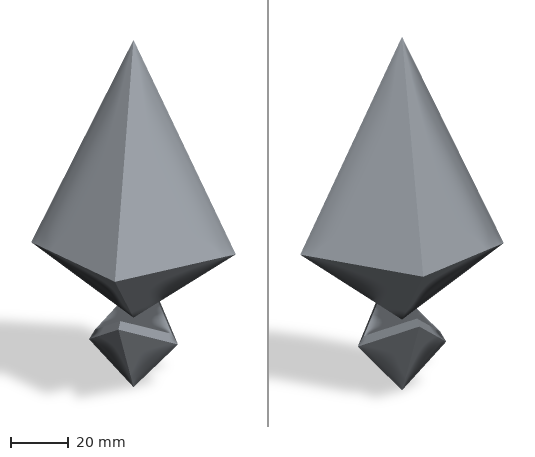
import cadquery as cq

BASE_WIDTH = 50.8
BASE_HEIGHT = 50.8
UPPER_TIP = 127.0
LOWER_TIP = 25.4

OUTER_SLOPE = 1.5
RIM_LOW = 11.0
RIM_HIGH = 20.7
VALLEY_REACH = 9.5
VALLEY_HEIGHT = 20.3

INNER_SCALE = VALLEY_REACH / RIM_LOW
CREST_REACH = INNER_SCALE * RIM_HIGH
CREST_HEIGHT = VALLEY_HEIGHT + INNER_SCALE * OUTER_SLOPE * (RIM_HIGH - RIM_LOW)


def solid_from_faces(faces):
    """Closed solid bounded by flat faces, each given as a list of corners."""
    flats = [cq.Face.makeFromWires(cq.Wire.makePolygon([cq.Vector(*p) for p in face], close=True))
             for face in faces]
    return cq.Solid.makeSolid(cq.Shell.makeShell(flats))


def pyramid(tip_height):
    """Square pyramid from the shared base to a tip on the Z axis."""
    half = BASE_WIDTH / 2
    base = [(x, y, BASE_HEIGHT) for x, y in ((-half, -half), (half, -half), (half, half), (-half, half))]
    tip = (0, 0, tip_height)
    sides = [[base[i], base[(i + 1) % len(base)], tip] for i in range(len(base))]
    return solid_from_faces([base] + sides)


def wing(side):
    """Half of the cup; side = 1 points toward +X -Y, side = -1 toward -X +Y."""
    point = (0, 0, 0)
    rim_front = (-RIM_LOW, -RIM_LOW, OUTER_SLOPE * RIM_LOW)
    rim_back = (RIM_LOW, RIM_LOW, OUTER_SLOPE * RIM_LOW)
    rim_tip = (side * RIM_HIGH, -side * RIM_HIGH, OUTER_SLOPE * RIM_HIGH)
    valley_front = (-VALLEY_REACH, -VALLEY_REACH, VALLEY_HEIGHT)
    valley_back = (VALLEY_REACH, VALLEY_REACH, VALLEY_HEIGHT)
    crest = (side * CREST_REACH, -side * CREST_REACH, CREST_HEIGHT)

    meeting_face = [point, rim_front, valley_front, valley_back, rim_back]
    inner_face = [valley_front, valley_back, crest]
    faces = [meeting_face, inner_face]
    for rim_end, valley_end in ((rim_front, valley_front), (rim_back, valley_back)):
        faces.append([point, rim_end, rim_tip])
        faces.append([rim_end, rim_tip, crest, valley_end])
    return solid_from_faces(faces)


upper_pyramid = pyramid(UPPER_TIP)
lower_pyramid = pyramid(LOWER_TIP)
wings = [wing(side) for side in (1, -1)]

result = cq.Compound.makeCompound([upper_pyramid, lower_pyramid, *wings])